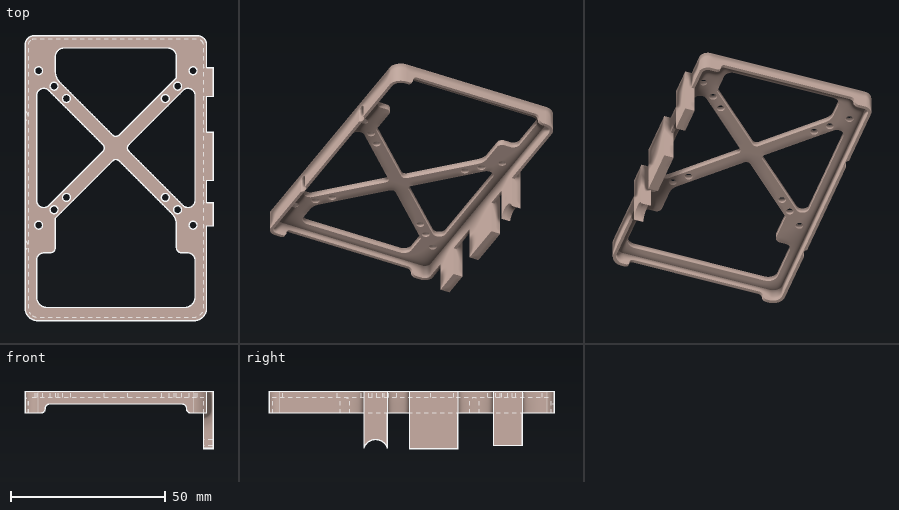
import cadquery as cq
import math


frame_width = 58.7
frame_back_y = 36.4
frame_front_y = -56.0
frame_height = 7.0
plate_thickness = 2.0
wall_thickness = 1.0
back_corner_radius = 3.15
front_corner_radius = 4.25
side_trim = 0.1

opening_half_width = 25.6
bay_half_width = 19.55
back_opening_y = 32.3
front_opening_y = -51.6
pad_front_y = -34.0
arm_width = 4.45
arm_meeting_radius = 1.5
triangle_corner_radius = 2.25
back_opening_radius = 2.7
arm_root_radius = 5.0
pad_outer_radius = 1.8
pad_inner_radius = 2.3
front_opening_radius = 3.3

hole_diameter = 2.5
hole_offsets = (16.0, 20.0, 25.0)

notch_width = 45.7
notch_top_z = -4.1
notch_radius = 1.4

groove_positions = (10.4, -31.5)
groove_radius = 1.9
groove_depth = 0.85
groove_top_z = -1.9
groove_top_radius = 1.25

tab_thickness = 3.2
tab_projection = 2.2
deep_tab_z = -18.6
back_tab = (26.0, 16.6, -17.5)
middle_tab = (5.1, -10.6, deep_tab_z)
front_tab = (-17.7, -25.3, deep_tab_z)
arch_radius = 4.0
arch_top_z = -15.6

half_width = frame_width / 2
frame_length = frame_back_y - frame_front_y
frame_middle_y = (frame_back_y + frame_front_y) / 2
arm_edge_offset = arm_width / math.sqrt(2)


def make_box(x_range, y_range, z_range):
    """Box spanning the given (low, high) ranges."""
    size = [high - low for low, high in (x_range, y_range, z_range)]
    return cq.Workplane("XY").box(*size, centered=False).translate((x_range[0], y_range[0], z_range[0]))


def make_rounded_block(inset, height):
    """Block below Z = 0, set in from the untrimmed frame outline and rounded at its corners."""
    return (
        cq.Workplane("XY")
        .center(0, frame_middle_y)
        .rect(frame_width + 2 * side_trim - 2 * inset, frame_length - 2 * inset)
        .extrude(-height)
        .edges("|Z and >Y")
        .fillet(back_corner_radius - inset)
        .edges("|Z and <Y")
        .fillet(front_corner_radius - inset)
    )


def make_tray():
    """Top plate with thin walls hanging from its edge."""
    block = make_rounded_block(0, frame_height)
    trimmed_space = make_box(
        (-half_width, half_width),
        (frame_front_y, frame_back_y),
        (-frame_height, 0),
    )
    cavity = make_rounded_block(wall_thickness + side_trim, frame_height)
    cavity = cavity.translate((0, 0, -plate_thickness))
    return block.intersect(trimmed_space).cut(cavity)


def make_opening(corners):
    """Cutter through the plate. Each corner is (x, y, rounding radius); a radius of 0 stays sharp."""
    points = [(x, y) for x, y, _ in corners]
    cutter = cq.Workplane("XY").polyline(points).close().extrude(-frame_height)
    for x, y, radius in corners:
        if radius > 0:
            corner_edge = cq.selectors.NearestToPointSelector((x, y, -frame_height / 2))
            cutter = cutter.edges("|Z").edges(corner_edge).fillet(radius)
    return cutter


def make_back_opening():
    arm_root_y = bay_half_width + arm_edge_offset
    return make_opening([
        (0, arm_edge_offset, arm_meeting_radius),
        (bay_half_width, arm_root_y, 0),
        (bay_half_width, back_opening_y, back_opening_radius),
        (-bay_half_width, back_opening_y, back_opening_radius),
        (-bay_half_width, arm_root_y, arm_root_radius),
    ])


def make_front_opening():
    arm_root_y = -bay_half_width - arm_edge_offset
    return make_opening([
        (0, -arm_edge_offset, arm_meeting_radius),
        (-bay_half_width, arm_root_y, 0),
        (-bay_half_width, pad_front_y, pad_outer_radius),
        (-opening_half_width, pad_front_y, pad_inner_radius),
        (-opening_half_width, front_opening_y, front_opening_radius),
        (opening_half_width, front_opening_y, front_opening_radius),
        (opening_half_width, pad_front_y, pad_inner_radius),
        (bay_half_width, pad_front_y, pad_outer_radius),
        (bay_half_width, arm_root_y, arm_root_radius),
    ])


def make_side_opening(side):
    """Triangular opening; side is -1 for left and +1 for right."""
    arm_root_y = opening_half_width - arm_edge_offset
    return make_opening([
        (side * arm_edge_offset, 0, arm_meeting_radius),
        (side * opening_half_width, arm_root_y, triangle_corner_radius),
        (side * opening_half_width, -arm_root_y, triangle_corner_radius),
    ])


def make_mounting_holes():
    positions = [
        (x_side * offset, y_side * offset)
        for offset in hole_offsets
        for x_side in (-1, 1)
        for y_side in (-1, 1)
    ]
    return cq.Workplane("XY").pushPoints(positions).circle(hole_diameter / 2).extrude(-frame_height)


def make_wall_notch():
    """Cutter through the front and back walls, rounded at its top and flared at its mouth."""
    half_notch = notch_width / 2
    mouth = half_notch + notch_radius
    roof = half_notch - notch_radius
    bend = notch_radius * (1 - math.sqrt(0.5))
    return (
        cq.Workplane("XZ", origin=(0, frame_back_y, 0))
        .moveTo(-mouth, -frame_height)
        .threePointArc(
            (-half_notch - bend, -frame_height + bend),
            (-half_notch, -frame_height + notch_radius),
        )
        .lineTo(-half_notch, notch_top_z - notch_radius)
        .threePointArc((-half_notch + bend, notch_top_z - bend), (-roof, notch_top_z))
        .lineTo(roof, notch_top_z)
        .threePointArc((half_notch - bend, notch_top_z - bend), (half_notch, notch_top_z - notch_radius))
        .lineTo(half_notch, -frame_height + notch_radius)
        .threePointArc((half_notch + bend, -frame_height + bend), (mouth, -frame_height))
        .close()
        .extrude(frame_length)
    )


def make_wall_groove(y):
    """Shallow upright groove in the left face, open at the bottom and rounded at its top."""
    axis_x = -half_width + groove_depth - groove_radius
    return (
        cq.Workplane("XY", origin=(axis_x, y, -frame_height))
        .circle(groove_radius)
        .extrude(frame_height + groove_top_z)
        .faces(">Z")
        .edges()
        .fillet(groove_top_radius)
    )


def make_tab(back_y, front_y, bottom_z):
    outer_x = half_width + tab_projection
    return make_box((outer_x - tab_thickness, outer_x), (front_y, back_y), (bottom_z, 0))


def make_tab_arch():
    """Cylinder along X that hollows the lower end of the front tab."""
    arch_y = (front_tab[0] + front_tab[1]) / 2
    inner_x = half_width + tab_projection - tab_thickness
    return (
        cq.Workplane("YZ", origin=(inner_x, 0, 0))
        .center(arch_y, arch_top_z - arch_radius)
        .circle(arch_radius)
        .extrude(tab_thickness)
    )


result = make_tray()
for tab in (back_tab, middle_tab, front_tab):
    result = result.union(make_tab(*tab))
result = result.cut(make_tab_arch())
for opening in (make_back_opening(), make_front_opening(), make_side_opening(-1), make_side_opening(1)):
    result = result.cut(opening)
result = result.cut(make_mounting_holes()).cut(make_wall_notch())
for groove_y in groove_positions:
    result = result.cut(make_wall_groove(groove_y))